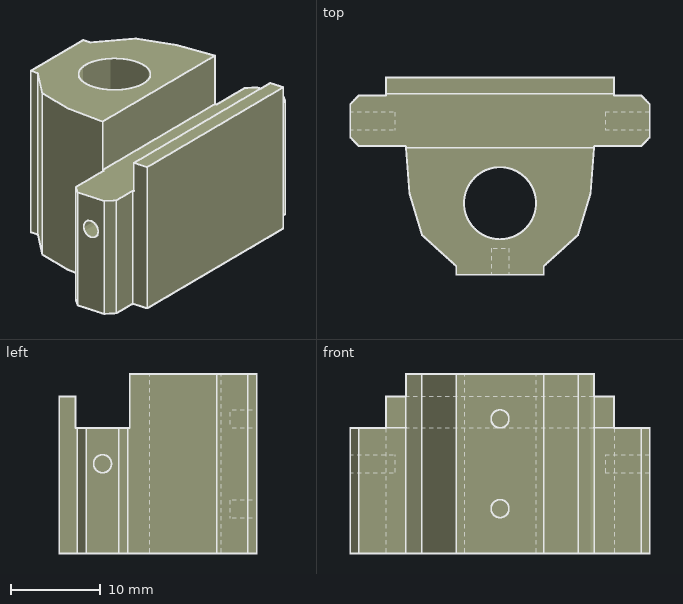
import cadquery as cq


overall_depth = 22.0
housing_height = 20.0
housing_half_width = 10.5
shoulder_half_width = 10.1
shoulder_depth = 12.9
cheek_half_width = 8.7
cheek_depth = 17.55
nose_half_width = 4.9
nose_length = 1.0

bar_width = 33.4
bar_back = 2.0
bar_front = 7.65
bar_height = 14.0
bar_chamfer_x = 0.95
bar_chamfer_y = 1.0

channel_front = 7.85

plate_width = 25.4
plate_thickness = 1.83
plate_height = 17.5

bore_diameter = 8.0
bore_depth_from_back = 14.0
small_hole_diameter = 2.0
nose_hole_heights = (5.0, 15.0)
nose_hole_depth = 3.0
side_hole_depth = 5.0
side_hole_height = 10.0

bar_middle = (bar_back + bar_front) / 2


def make_housing():
    """Faceted block that narrows in steps to the flat nose."""
    right_side = [
        (housing_half_width, -bar_front),
        (shoulder_half_width, -shoulder_depth),
        (cheek_half_width, -cheek_depth),
        (nose_half_width, -(overall_depth - nose_length)),
        (nose_half_width, -overall_depth),
    ]
    left_side = [(-x, y) for x, y in reversed(right_side)]
    return cq.Workplane("XY").polyline(right_side + left_side).close().extrude(housing_height)


def make_bar():
    """Cross bar with its four vertical corners bevelled."""
    end = bar_width / 2
    inner = end - bar_chamfer_x
    outline = [
        (-inner, -bar_back),
        (inner, -bar_back),
        (end, -bar_back - bar_chamfer_y),
        (end, -bar_front + bar_chamfer_y),
        (inner, -bar_front),
        (-inner, -bar_front),
        (-end, -bar_front + bar_chamfer_y),
        (-end, -bar_back - bar_chamfer_y),
    ]
    return cq.Workplane("XY").polyline(outline).close().extrude(bar_height)


def make_block(width, back, front, height):
    """Upright block centred on X = 0, between two distances from the back face."""
    return (
        cq.Workplane("XY")
        .center(0, -(back + front) / 2)
        .rect(width, front - back)
        .extrude(height)
    )


def cut_side_holes(body):
    """Blind holes in both ends of the bar, at the middle of its thickness."""
    for start_x in (-bar_width / 2, bar_width / 2 - side_hole_depth):
        hole = (
            cq.Workplane("YZ", origin=(start_x, -bar_middle, side_hole_height))
            .circle(small_hole_diameter / 2)
            .extrude(side_hole_depth)
        )
        body = body.cut(hole)
    return body


def cut_bore(body):
    """Vertical bore through the housing."""
    bore = (
        cq.Workplane("XY")
        .center(0, -bore_depth_from_back)
        .circle(bore_diameter / 2)
        .extrude(housing_height)
    )
    return body.cut(bore)


def cut_nose_holes(body):
    """Blind holes in the nose face."""
    for height in nose_hole_heights:
        hole = (
            cq.Workplane("XZ", origin=(0, nose_hole_depth - overall_depth, height))
            .circle(small_hole_diameter / 2)
            .extrude(nose_hole_depth)
        )
        body = body.cut(hole)
    return body


def cut_channel(body):
    """Trim the housing back to the channel wall above the bar."""
    channel = (
        make_block(2 * housing_half_width, plate_thickness, channel_front, housing_height)
        .translate((0, 0, bar_height))
    )
    return body.cut(channel)


plate = make_block(plate_width, 0, plate_thickness, plate_height)
plate_web = make_block(plate_width, 0, bar_front, bar_height)
housing = cut_channel(make_housing())
body = housing.union(make_bar()).union(plate).union(plate_web)

body = cut_bore(body)
body = cut_nose_holes(body)
result = cut_side_holes(body)